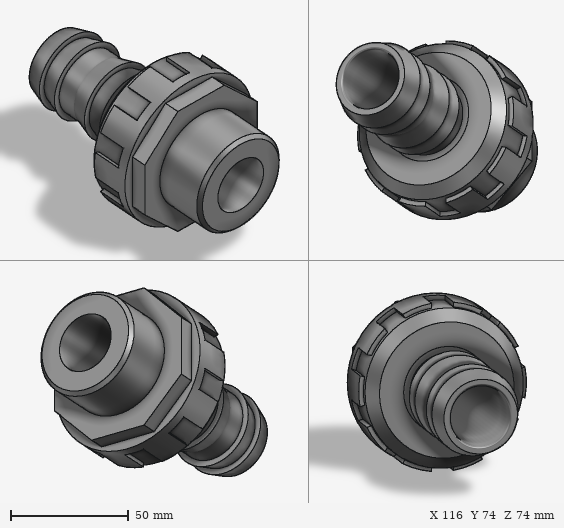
import cadquery as cq
import math


TOTAL_LENGTH = 116.0
NUT_LENGTH = 26.2
OCTAGON_LENGTH = 7.8
SPIGOT_LENGTH = 25.0
SPIGOT_START = TOTAL_LENGTH - SPIGOT_LENGTH
OCTAGON_START = SPIGOT_START - OCTAGON_LENGTH
NUT_START = OCTAGON_START - NUT_LENGTH

BORE_RADIUS = 13.2
BORE_LIP_FILLET = 1.0

STEM_RADIUS = 16.2
BARB_RADIUS = 19.0
SHOULDER_RADIUS = BARB_RADIUS
STEM_SECTIONS = 6
BARB_SECTIONS = (0, 1, 3, 4)
SECTION_LENGTH = NUT_START / STEM_SECTIONS

GRIP_RADIUS = 37.0
COLLAR_RADIUS = 34.9
NUT_FACE_RADIUS = 29.7
NUT_CONE_LENGTH = 4.3
COLLAR_LENGTH = 2.7
GRIP_START = NUT_START + NUT_CONE_LENGTH + COLLAR_LENGTH
SLOT_COUNT = 10
SLOT_WIDTH = 9.6
SLOT_LENGTH = 14.4

OCTAGON_SIDES = 8
OCTAGON_ACROSS_FLATS = 65.1
SPIGOT_RADIUS = 23.9
SPIGOT_CHAMFER = 1.7


def cylinder_along_x(start, length, radius):
    return cq.Workplane("YZ", origin=(start, 0, 0)).circle(radius).extrude(length)


def make_hose_tail():
    """Barbed stem with a wider shoulder inside the nut and a bore rounded at the hose end."""
    profile = cq.Workplane("XY").moveTo(0, 0).lineTo(0, STEM_RADIUS)
    for section in range(STEM_SECTIONS):
        section_end = (section + 1) * SECTION_LENGTH
        if section in BARB_SECTIONS:
            profile = profile.lineTo(section_end, BARB_RADIUS)
        if section + 1 < STEM_SECTIONS:
            profile = profile.lineTo(section_end, STEM_RADIUS)
    profile = (
        profile.lineTo(NUT_START, STEM_RADIUS)
        .lineTo(NUT_START, SHOULDER_RADIUS)
        .lineTo(OCTAGON_START, SHOULDER_RADIUS)
        .lineTo(OCTAGON_START, 0)
        .close()
    )
    tail = profile.revolve(360, (0, 0, 0), (1, 0, 0))
    tail = tail.cut(cylinder_along_x(0, OCTAGON_START, BORE_RADIUS))
    bore_lip = cq.selectors.RadiusNthSelector(0)
    return tail.faces("<X").edges(bore_lip).fillet(BORE_LIP_FILLET)


def make_grip_slots():
    """Straight-sided grip slots, open at the hose side, with a floor flush with the collar."""
    slots = (
        cq.Workplane("YZ", origin=(GRIP_START, 0, 0))
        .polarArray(GRIP_RADIUS, 90, 360, SLOT_COUNT)
        .rect(SLOT_WIDTH, SLOT_WIDTH)
        .extrude(SLOT_LENGTH)
    )
    return slots.cut(cylinder_along_x(GRIP_START, SLOT_LENGTH, COLLAR_RADIUS))


def make_nut():
    """Conical front, plain collar and slotted grip band around the shoulder of the tail."""
    collar_start = NUT_START + NUT_CONE_LENGTH
    nut = (
        cq.Workplane("XY")
        .moveTo(NUT_START, SHOULDER_RADIUS)
        .lineTo(NUT_START, NUT_FACE_RADIUS)
        .lineTo(collar_start, COLLAR_RADIUS)
        .lineTo(GRIP_START, COLLAR_RADIUS)
        .lineTo(GRIP_START, GRIP_RADIUS)
        .lineTo(OCTAGON_START, GRIP_RADIUS)
        .lineTo(OCTAGON_START, SHOULDER_RADIUS)
        .close()
        .revolve(360, (0, 0, 0), (1, 0, 0))
    )
    return nut.cut(make_grip_slots())


def make_end_fitting():
    """Octagonal flange with flats square to Y and Z, and a chamfered spigot."""
    half_side_angle = math.pi / OCTAGON_SIDES
    across_corners = OCTAGON_ACROSS_FLATS / math.cos(half_side_angle)
    flange = (
        cq.Workplane("YZ")
        .polygon(OCTAGON_SIDES, across_corners)
        .extrude(OCTAGON_LENGTH)
        .rotate((0, 0, 0), (1, 0, 0), math.degrees(half_side_angle))
        .translate((OCTAGON_START, 0, 0))
    )
    spigot = cylinder_along_x(SPIGOT_START, SPIGOT_LENGTH, SPIGOT_RADIUS)
    spigot = spigot.faces(">X").chamfer(SPIGOT_CHAMFER)
    fitting = flange.union(spigot)
    return fitting.cut(cylinder_along_x(OCTAGON_START, TOTAL_LENGTH - OCTAGON_START, BORE_RADIUS))


hose_tail = make_hose_tail()
nut = make_nut()
end_fitting = make_end_fitting()

result = cq.Compound.makeCompound([hose_tail.val(), nut.val(), end_fitting.val()])